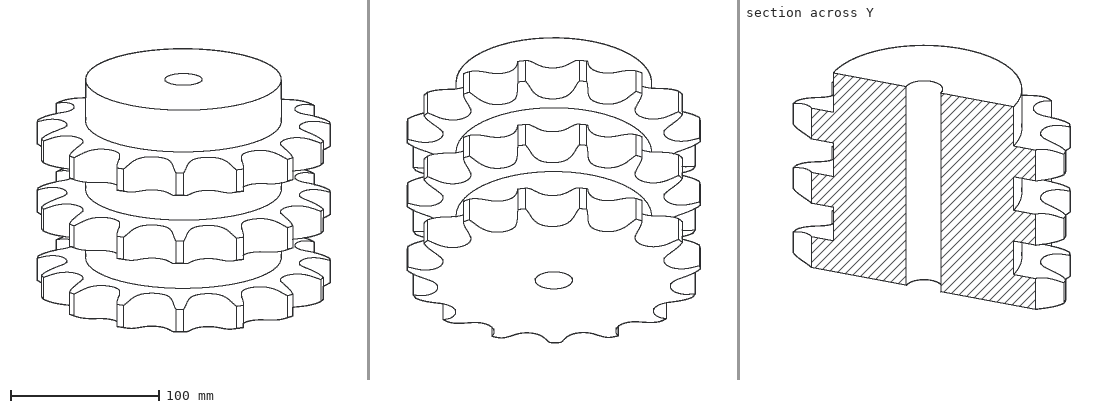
import cadquery as cq
import math

tooth_count = 15
row_count = 3
overall_width = 197.5
total_height = 150.0
chain_pitch = 38.1
roller_diameter = chain_pitch / 1.5
row_pitch = 48.5
row_width = 23.5
hub_diameter = 132.0
bore_diameter = 25.0
bevel_start_radius = 82.2
bevel_radius = chain_pitch

half_step = 180 / tooth_count
tip_land_half_angle = 1.4
tip_corner_angle = half_step / 2 - tip_land_half_angle
tip_radius = overall_width / 2 / math.cos(math.radians(tip_corner_angle))

pitch_radius = chain_pitch / (2 * math.sin(math.radians(half_step)))
seat_radius = 12.8
seat_end_angle = 35 + 60 / tooth_count
working_span = 18 - 56 / tooth_count
flank_angle = seat_end_angle - working_span
working_centre_distance = 0.8 * roller_diameter
working_radius = seat_radius + working_centre_distance
topping_centre_distance = 1.4 * roller_diameter
topping_offset_angle = 17 - 64 / tooth_count
topping_radius = (
    working_centre_distance * math.cos(math.radians(working_span))
    + topping_centre_distance * math.cos(math.radians(topping_offset_angle))
    - working_radius
)
topping_start_angle = 180 - flank_angle
topping_end_angle = 120


def polar(centre, radius, degrees):
    """Point at a distance and direction from a centre."""
    angle = math.radians(degrees)
    return (centre[0] + radius * math.cos(angle), centre[1] + radius * math.sin(angle))


def mirrored(point):
    """Point reflected across the Y axis."""
    return (-point[0], point[1])


def tooth_gap():
    """Cutter for the gap centred on +Y, open beyond the tooth tips."""
    roller_centre = (0, pitch_radius)
    working_centre = polar(roller_centre, working_centre_distance, 180 - seat_end_angle)
    topping_centre = polar(roller_centre, topping_centre_distance, -half_step)

    seat_bottom = polar(roller_centre, seat_radius, -90)
    seat_end = polar(roller_centre, seat_radius, -seat_end_angle)
    working_middle = polar(working_centre, working_radius, -seat_end_angle + working_span / 2)
    working_end = polar(working_centre, working_radius, -flank_angle)

    topping_start = polar(topping_centre, topping_radius, topping_start_angle)
    topping_middle = polar(topping_centre, topping_radius, (topping_start_angle + topping_end_angle) / 2)
    topping_end = polar(topping_centre, topping_radius, topping_end_angle)
    return (
        cq.Workplane("XY")
        .moveTo(*mirrored(seat_end))
        .threePointArc(seat_bottom, seat_end)
        .threePointArc(working_middle, working_end)
        .lineTo(*topping_start)
        .threePointArc(topping_middle, topping_end)
        .lineTo(*mirrored(topping_end))
        .threePointArc(mirrored(topping_middle), mirrored(topping_start))
        .lineTo(*mirrored(working_end))
        .threePointArc(mirrored(working_middle), mirrored(seat_end))
        .close()
        .extrude(row_width)
    )


def row_blank():
    """Toothless disc whose rounded bevels are tangent to both faces."""
    tip_angle = 90 - math.degrees(math.asin((tip_radius - bevel_start_radius) / bevel_radius))
    middle_angle = (90 + tip_angle) / 2
    top_centre = (bevel_start_radius, row_width - bevel_radius)
    bottom_centre = (bevel_start_radius, bevel_radius)
    return (
        cq.Workplane("XZ")
        .lineTo(bevel_start_radius, 0)
        .threePointArc(
            polar(bottom_centre, bevel_radius, -middle_angle),
            polar(bottom_centre, bevel_radius, -tip_angle),
        )
        .lineTo(*polar(top_centre, bevel_radius, tip_angle))
        .threePointArc(polar(top_centre, bevel_radius, middle_angle), (bevel_start_radius, row_width))
        .lineTo(0, row_width)
        .close()
        .revolve(360, (0, 0, 0), (0, 1, 0))
    )


def toothed_row():
    """Bevelled disc with all tooth gaps cut, its lower face at Z = 0."""
    row = row_blank()
    gap = tooth_gap()
    for index in range(tooth_count):
        row = row.cut(gap.rotate((0, 0, 0), (0, 0, 1), index * 360 / tooth_count))
    return row


result = cq.Workplane("XY").circle(hub_diameter / 2).extrude(total_height)
sprocket_row = toothed_row()
for index in range(row_count):
    result = result.union(sprocket_row.translate((0, 0, index * row_pitch)))
result = result.cut(cq.Workplane("XY").circle(bore_diameter / 2).extrude(total_height))